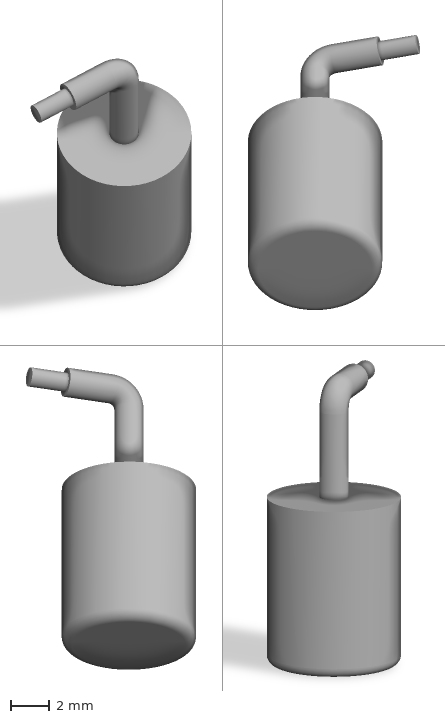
import cadquery as cq

housing_diameter = 7.0
housing_height = 8.9
bottom_fillet = 0.5
sleeve_diameter = 1.52
conductor_diameter = 1.0
bend_radius = 1.0
total_height = 15.24
total_depth = 9.0

cable_axis_z = total_height - sleeve_diameter / 2
bend_start_z = cable_axis_z - bend_radius
housing_radius = housing_diameter / 2
sleeve_end_y = -housing_radius
conductor_end_y = housing_radius - total_depth


def make_housing():
    """Solid cylinder with a rounded bottom edge."""
    return (
        cq.Workplane("XY")
        .circle(housing_radius)
        .extrude(housing_height)
        .faces("<Z")
        .edges()
        .fillet(bottom_fillet)
    )


def make_cable():
    """Sleeve that rises from the housing and bends to -Y, with its bare conductor end."""
    riser = (
        cq.Workplane("XY", origin=(0, 0, housing_height))
        .circle(sleeve_diameter / 2)
        .extrude(bend_start_z - housing_height)
    )
    bend = (
        cq.Workplane("XY", origin=(0, 0, bend_start_z))
        .circle(sleeve_diameter / 2)
        .revolve(90, (0, -bend_radius, 0), (1, -bend_radius, 0))
    )
    outlet = (
        cq.Workplane("XZ", origin=(0, -bend_radius, cable_axis_z))
        .circle(sleeve_diameter / 2)
        .extrude(-bend_radius - sleeve_end_y)
    )
    conductor = (
        cq.Workplane("XZ", origin=(0, sleeve_end_y, cable_axis_z))
        .circle(conductor_diameter / 2)
        .extrude(sleeve_end_y - conductor_end_y)
    )
    return riser.union(bend).union(outlet).union(conductor)


housing = make_housing()
cable = make_cable()
result = cq.Compound.makeCompound([housing.val(), cable.val()])